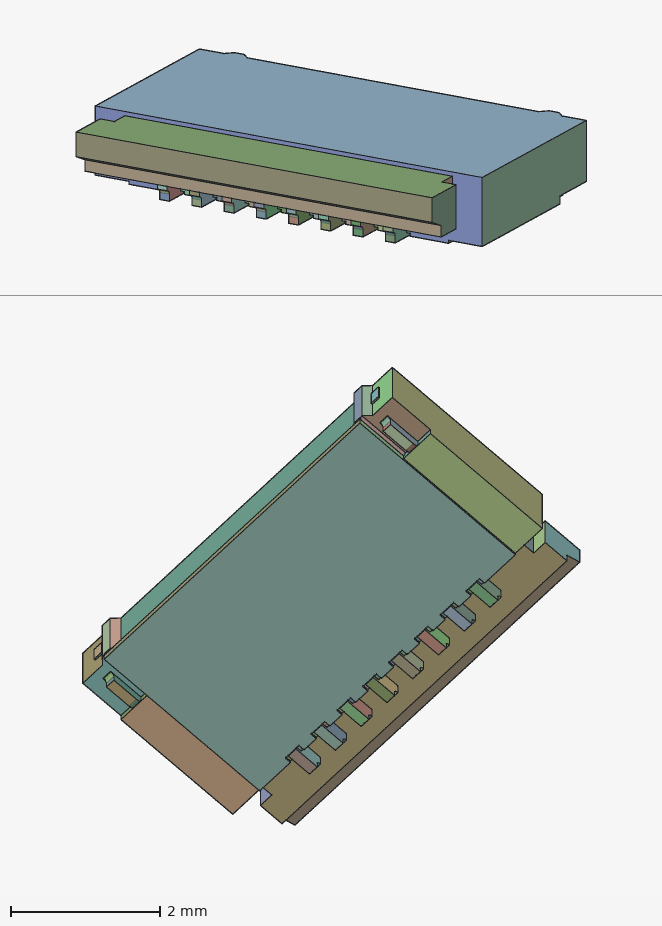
import cadquery as cq
import math


housing_width = 6.0
housing_depth = 2.785
top_z = 1.04
side_bottom_z = 0.06
centre_bottom_z = 0.02
centre_inset = 0.52
centre_half_width = housing_width / 2 - centre_inset

lip_depth = 0.1
lip_top_width = 0.155
rear_y = housing_depth + lip_depth
ledge_rear_z = 0.13
ledge_rise = lip_depth

recess_start_y = 2.075
recess_ceiling_z = 0.175
recess_corner_chamfer = 0.039

actuator_inset = 0.24
actuator_width = housing_width - 2 * actuator_inset
neck_inset = 0.46
neck_width = housing_width - 2 * neck_inset
neck_length = 0.28
actuator_front_y = -0.925
actuator_step_y = -0.685
actuator_top_z = 0.98
actuator_bottom_z = 0.355
bevel_top_z = 0.63
bevel_bottom_z = 0.515

inner_bend_radius = 0.06
outer_bend_radius = 0.085
bend_top_z = 0.16

contact_count = 8
contact_pitch = 1.5 / 3
contact_width = 0.15
contact_foot_y = -0.3
contact_rear_y = 0.095
notch_width = 0.265

tab_inset = 0.245
tab_width = 0.145
tab_foot_rear_y = 2.58
plate_projection = 0.025
plate_bottom_z = 0.505
plate_top_z = 0.78


def block(x0, x1, y0, y1, z0, z1):
    """Axis-aligned box between two opposite corners."""
    return cq.Workplane("XY").box(x1 - x0, y1 - y0, z1 - z0, centered=False).translate((x0, y0, z0))


def centred_extrusion(profile, width, centre_x=0.0):
    """Extrude a closed (Y, Z) profile along X, centred on centre_x."""
    return profile.extrude(width / 2, both=True).translate((centre_x, 0, 0))


def both_sides(left_part):
    """The part together with its mirror image across the centre plane."""
    return left_part.union(left_part.mirror("YZ"))


def make_housing():
    """Main box with a recess under each rear corner."""
    half_width = housing_width / 2
    body = block(-half_width, half_width, 0, housing_depth, side_bottom_z, top_z)
    recess = block(
        -half_width, -centre_half_width, recess_start_y, housing_depth, side_bottom_z, recess_ceiling_z
    )
    return body.cut(both_sides(recess))


def make_centre_block():
    """Lowered middle of the housing, with a sloped ledge along its rear edge."""
    outline = [
        (0, centre_bottom_z),
        (rear_y, centre_bottom_z),
        (rear_y, ledge_rear_z),
        (housing_depth, ledge_rear_z + ledge_rise),
        (0, ledge_rear_z + ledge_rise),
    ]
    profile = cq.Workplane("YZ").polyline(outline).close()
    return centred_extrusion(profile, 2 * centre_half_width)


def make_lip():
    """Trapezoid with 45 degree flanks, starting where the recess corner bevel starts."""
    left_x = -centre_half_width - recess_corner_chamfer
    right_x = left_x + lip_top_width
    outline = [
        (left_x - lip_depth, housing_depth),
        (left_x, rear_y),
        (right_x, rear_y),
        (right_x + lip_depth, housing_depth),
    ]
    lip = cq.Workplane("XY").workplane(offset=recess_ceiling_z).polyline(outline).close()
    return lip.extrude(top_z - recess_ceiling_z)


def make_recess_corner():
    """Bevel filling the corner between the recess ceiling and the centre block."""
    outline = [
        (-centre_half_width, recess_ceiling_z),
        (-centre_half_width, recess_ceiling_z - recess_corner_chamfer),
        (-centre_half_width - recess_corner_chamfer, recess_ceiling_z),
    ]
    corner = cq.Workplane("XZ").polyline(outline).close()
    return corner.extrude(recess_start_y - rear_y).translate((0, recess_start_y, 0))


def make_actuator():
    """Bar with a bevelled and stepped front, joined to the housing by a narrower neck."""
    outline = [
        (-neck_length, actuator_top_z),
        (actuator_front_y, actuator_top_z),
        (actuator_front_y, bevel_top_z),
        (actuator_step_y, bevel_bottom_z),
        (actuator_step_y, actuator_bottom_z),
        (-neck_length, actuator_bottom_z),
    ]
    neck = block(-neck_width / 2, neck_width / 2, -neck_length, 0, actuator_bottom_z, actuator_top_z)
    profile = cq.Workplane("YZ").polyline(outline).close()
    return centred_extrusion(profile, actuator_width).union(neck)


def make_contact(x):
    """Solder foot with a hollow bend up to the wider part under the actuator."""
    bend_y = contact_foot_y - inner_bend_radius
    bend_z = bend_top_z - inner_bend_radius
    bend_offset = inner_bend_radius * math.sqrt(0.5)
    profile = (
        cq.Workplane("YZ")
        .moveTo(contact_rear_y, 0)
        .lineTo(contact_foot_y, 0)
        .lineTo(contact_foot_y, bend_z)
        .threePointArc((bend_y + bend_offset, bend_z + bend_offset), (bend_y, bend_top_z))
        .lineTo(bend_y, actuator_bottom_z)
        .lineTo(contact_rear_y, actuator_bottom_z)
        .close()
    )
    return centred_extrusion(profile, contact_width, x)


def make_contact_notch(x):
    """Relief in the front lower edge of the centre block, around one contact."""
    half_width = notch_width / 2
    return block(x - half_width, x + half_width, 0, contact_rear_y, centre_bottom_z, side_bottom_z)


def make_solder_tab():
    """Foot in the recess, plus the retaining plate end that stands proud of the rear face."""
    left_x = tab_inset - housing_width / 2
    right_x = left_x + tab_width
    front_bend_y = recess_start_y + outer_bend_radius
    front_offset = outer_bend_radius * math.sqrt(0.5)
    rear_bend_y = tab_foot_rear_y + inner_bend_radius
    rear_bend_z = bend_top_z - inner_bend_radius
    rear_offset = inner_bend_radius * math.sqrt(0.5)
    profile = (
        cq.Workplane("YZ")
        .moveTo(recess_start_y, recess_ceiling_z)
        .lineTo(recess_start_y, outer_bend_radius)
        .threePointArc((front_bend_y - front_offset, outer_bend_radius - front_offset), (front_bend_y, 0))
        .lineTo(tab_foot_rear_y, 0)
        .lineTo(tab_foot_rear_y, rear_bend_z)
        .threePointArc((rear_bend_y - rear_offset, rear_bend_z + rear_offset), (rear_bend_y, bend_top_z))
        .lineTo(rear_bend_y, recess_ceiling_z)
        .close()
    )
    foot = centred_extrusion(profile, tab_width, (left_x + right_x) / 2)
    plate_rear_y = housing_depth + plate_projection
    plate = block(left_x, right_x, recess_start_y, plate_rear_y, plate_bottom_z, plate_top_z)
    return foot.union(plate)


contact_positions = [contact_pitch * (i - (contact_count - 1) / 2) for i in range(contact_count)]

result = make_housing().union(make_centre_block())
result = result.union(both_sides(make_lip())).union(both_sides(make_recess_corner()))
for contact_x in contact_positions:
    result = result.cut(make_contact_notch(contact_x))
result = result.union(make_actuator())
for contact_x in contact_positions:
    result = result.union(make_contact(contact_x))
result = result.union(both_sides(make_solder_tab()))